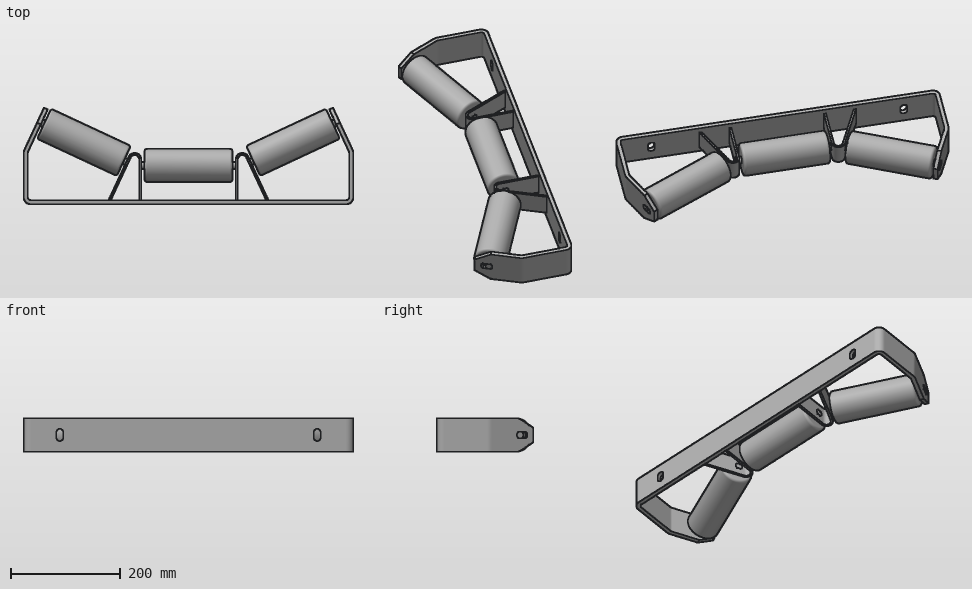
import cadquery as cq
import math


LENGTH = 600.0
HEIGHT = 176.0
STRIP_WIDTH = 62.0
TROUGH_ANGLE = 25.0
SIN = math.sin(math.radians(TROUGH_ANGLE))
COS = math.cos(math.radians(TROUGH_ANGLE))

FRAME_THICK = 8.0
CORNER_RADIUS = 13.0
ARM_BEND_RADIUS = 17.0
ARM_BEND_Y = 92.5
ARM_CUT_LENGTH = 30.0
ARM_CUT_WIDTH = 17.5
SHAFT_PLAY = 8.0
BOLT_SLOT_LENGTH = 22.0
BOLT_SLOT_WIDTH = 12.5
BOLT_SLOT_X = 234.0

BRACKET_THICK = 4.0
BRACKET_WIDTH = 40.0
BRACKET_RADIUS = 12.0
BRACKET_TOP = 93.5
BRACKET_FACE_X = 86.0

ROLLER_DIAMETER = 60.5
ROLLER_LENGTH = 160.0
ROLLER_FILLET = 5.0
SHAFT_DIAMETER = 13.0
SHAFT_FLATS = 11.5
MIDDLE_ROLLER_Y = 71.0
SIDE_ROLLER_FROM_TIP = 26.5

BEND_CENTRE_X = -LENGTH / 2 + ARM_BEND_RADIUS
ARM_LENGTH = (HEIGHT - ARM_BEND_Y - ARM_BEND_RADIUS * SIN) / COS
ARM_TIP = (BEND_CENTRE_X - ARM_BEND_RADIUS * COS + ARM_LENGTH * SIN, HEIGHT)

FOLD_X = -BRACKET_FACE_X - BRACKET_RADIUS
FOLD_Y = BRACKET_TOP - BRACKET_RADIUS


def sweep_strip(path, start, thickness, width):
    """Sweep a strip section along a path that starts in the XY plane, running along X or Y."""
    wire = path.wire()
    tangent = wire.val().tangentAt(0)
    section = cq.Plane(origin=(*start, 0), xDir=(0, 0, 1), normal=tangent.toTuple())
    return cq.Workplane(section).rect(width, thickness).sweep(wire)


def mirrored(body):
    """Copy of a body on the other side of the middle of the frame."""
    return body.mirror("YZ")


def shaft_slot_outline(workplane):
    """Outline of the flatted shaft end at the origin, stretched towards -x by the shaft play."""
    radius = SHAFT_DIAMETER / 2
    half = SHAFT_FLATS / 2
    reach = math.sqrt(radius**2 - half**2)
    return (
        workplane.moveTo(-reach - SHAFT_PLAY, -half)
        .lineTo(reach, -half)
        .threePointArc((radius, 0), (reach, half))
        .lineTo(-reach - SHAFT_PLAY, half)
        .threePointArc((-radius - SHAFT_PLAY, 0), (-reach - SHAFT_PLAY, -half))
        .close()
    )


def frame_half():
    half_thick = FRAME_THICK / 2
    upright_x = -LENGTH / 2 + half_thick
    arm_radius = ARM_BEND_RADIUS - half_thick
    arm_start = (BEND_CENTRE_X - arm_radius * COS, ARM_BEND_Y + arm_radius * SIN)
    start = (0, half_thick)
    path = (
        cq.Workplane("XY")
        .moveTo(*start)
        .lineTo(-LENGTH / 2 + CORNER_RADIUS, half_thick)
        .tangentArcPoint((upright_x, CORNER_RADIUS), relative=False)
        .lineTo(upright_x, ARM_BEND_Y)
        .tangentArcPoint(arm_start, relative=False)
        .line(ARM_LENGTH * SIN, ARM_LENGTH * COS)
    )
    half = sweep_strip(path, start, FRAME_THICK, STRIP_WIDTH)

    arm_plane = cq.Workplane(cq.Plane(origin=(*ARM_TIP, 0), xDir=(-SIN, -COS, 0), normal=(COS, -SIN, 0)))
    for side in (1, -1):
        edge = side * STRIP_WIDTH / 2
        corner = (
            arm_plane.moveTo(0, edge)
            .lineTo(ARM_CUT_LENGTH, edge)
            .lineTo(0, edge - side * ARM_CUT_WIDTH)
            .close()
            .extrude(FRAME_THICK)
        )
        half = half.cut(corner)
    slot_plane = arm_plane.center(SIDE_ROLLER_FROM_TIP, 0)
    shaft_slot = shaft_slot_outline(slot_plane).extrude(FRAME_THICK)
    bolt_slot = (
        cq.Workplane("XZ")
        .center(-BOLT_SLOT_X, 0)
        .slot2D(BOLT_SLOT_LENGTH, BOLT_SLOT_WIDTH, 90)
        .extrude(-FRAME_THICK)
    )
    return half.cut(shaft_slot).cut(bolt_slot)


def make_frame():
    half = frame_half()
    return half.union(mirrored(half)).clean()


def make_bracket():
    mid_radius = BRACKET_RADIUS - BRACKET_THICK / 2
    start = (FOLD_X + mid_radius, 0)
    slant_start = (FOLD_X - mid_radius * COS, FOLD_Y + mid_radius * SIN)
    slant_length = slant_start[1] / COS
    path = (
        cq.Workplane("XY")
        .moveTo(*start)
        .lineTo(start[0], FOLD_Y)
        .tangentArcPoint(slant_start, relative=False)
        .line(-slant_length * SIN, -slant_length * COS)
    )
    below = cq.Workplane("XY").box(LENGTH, 2 * FRAME_THICK, BRACKET_WIDTH)
    return sweep_strip(path, start, BRACKET_THICK, BRACKET_WIDTH).cut(below)


def make_roller(start, direction, span, start_thick, end_thick):
    """Roller whose shaft crosses the span between two supports and ends flush on their far faces.

    The start point lies on the axis, where the shaft meets the face of the first support.
    """
    plane = cq.Plane(origin=(*start, 0), xDir=(-direction[1], direction[0], 0), normal=direction)
    axis = cq.Workplane(plane)
    drum = (
        axis.workplane(offset=(span - ROLLER_LENGTH) / 2)
        .circle(ROLLER_DIAMETER / 2)
        .extrude(ROLLER_LENGTH)
        .edges("%CIRCLE")
        .fillet(ROLLER_FILLET)
    )
    shaft_start = axis.workplane(offset=-start_thick)
    shaft = shaft_start.circle(SHAFT_DIAMETER / 2).extrude(start_thick + span + end_thick)
    far_side = axis.workplane(offset=span)
    for end_plane, length in ((shaft_start, start_thick), (far_side, end_thick)):
        for side in (1, -1):
            flat_cut = (
                end_plane.center(0, side * (SHAFT_FLATS + SHAFT_DIAMETER) / 2)
                .rect(2 * SHAFT_DIAMETER, SHAFT_DIAMETER)
                .extrude(length)
            )
            shaft = shaft.cut(flat_cut)
    return drum.union(shaft)


def make_side_roller():
    axis_x = ARM_TIP[0] - SIDE_ROLLER_FROM_TIP * SIN
    axis_y = ARM_TIP[1] - SIDE_ROLLER_FROM_TIP * COS
    arm_distance = axis_x * COS - axis_y * SIN
    bracket_distance = FOLD_X * COS - FOLD_Y * SIN - BRACKET_RADIUS
    span = bracket_distance - arm_distance - FRAME_THICK
    start = (axis_x + FRAME_THICK * COS, axis_y - FRAME_THICK * SIN)
    return make_roller(start, (COS, -SIN, 0), span, FRAME_THICK, BRACKET_THICK)


def make_middle_roller():
    start = (-BRACKET_FACE_X, MIDDLE_ROLLER_Y)
    return make_roller(start, (1, 0, 0), 2 * BRACKET_FACE_X, BRACKET_THICK, BRACKET_THICK)


frame = make_frame()
side_roller = make_side_roller()
middle_roller = make_middle_roller()
bracket = make_bracket().cut(side_roller).cut(middle_roller)

result = cq.Compound.makeCompound([
    frame.val(),
    bracket.val(),
    mirrored(bracket).val(),
    middle_roller.val(),
    side_roller.val(),
    mirrored(side_roller).val(),
])